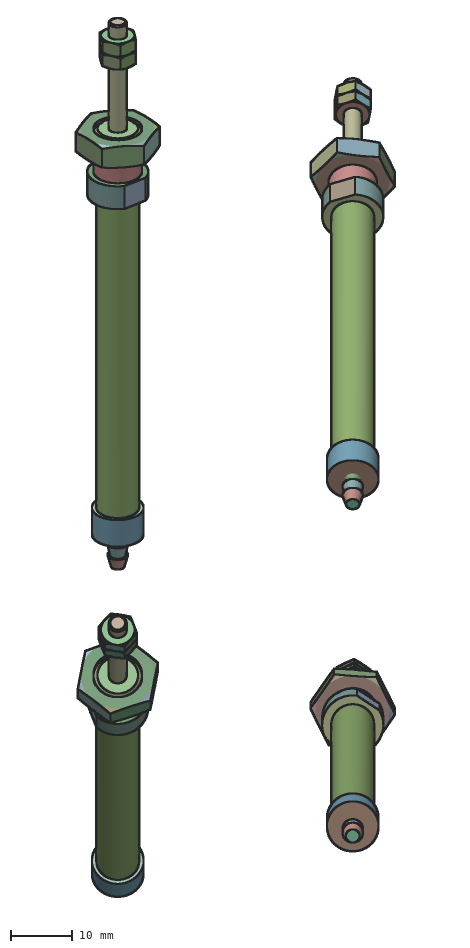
import cadquery as cq
import math

TOTAL_LENGTH = 102.0
CAP_BOTTOM = 6.0
CAP_TOP = 11.0
COLLAR_BOTTOM = 69.7
COLLAR_TOP = 74.0
THREAD_TOP = 82.0

CAP_DIAMETER = 8.5
BARREL_DIAMETER = 7.0
COLLAR_DIAMETER = 10.0
COLLAR_ACROSS_FLATS = 9.0
THREAD_DIAMETER = 8.0
THREAD_TOP_DIAMETER = 6.6

BARB_NECK_DIAMETER = 2.2
BARB_RIDGE_DIAMETER = 3.4
BARB_WAIST_DIAMETER = 2.7
BARB_TIP_DIAMETER = 2.2
BARB_NECK_FILLET = 0.2
BARB_RIDGE_PITCH = 2.1

ROD_DIAMETER = 3.0
ROD_TIP_DIAMETER = 2.4

HEXAGON_FLAT_RATIO = math.cos(math.pi / 6)
MOUNTING_NUT_ACROSS_FLATS = 12.0
MOUNTING_NUT_HEIGHT = 4.0
MOUNTING_NUT_CHAMFER_ANGLE = 15.0
ROD_NUT_ACROSS_FLATS = 5.5
ROD_NUT_HEIGHT = 2.4
ROD_NUT_CHAMFER_ANGLE = 25.0
ROD_NUT_COUNT = 2
ROD_OVERHANG = 2.5


def cylinder(diameter, bottom, top):
    """Solid cylinder on the Z axis between two heights."""
    return cq.Workplane("XY", origin=(0, 0, bottom)).circle(diameter / 2).extrude(top - bottom)


def revolve(profile):
    """Solid of revolution about Z from an open half profile in the XZ plane."""
    return profile.close().revolve(360, (0, 0), (0, 1))


def hose_barb():
    """Neck with two saw-tooth ridges that taper towards the tip and a fillet under the cap."""
    tip_radius = BARB_TIP_DIAMETER / 2
    ridge_radius = BARB_RIDGE_DIAMETER / 2
    neck_radius = BARB_NECK_DIAMETER / 2
    lower_ridge = BARB_RIDGE_PITCH
    upper_ridge = 2 * BARB_RIDGE_PITCH
    profile = (
        cq.Workplane("XZ")
        .lineTo(tip_radius, 0)
        .lineTo(ridge_radius, lower_ridge)
        .lineTo(BARB_WAIST_DIAMETER / 2, lower_ridge)
        .lineTo(ridge_radius, upper_ridge)
        .lineTo(neck_radius, upper_ridge)
        .lineTo(neck_radius, CAP_BOTTOM - BARB_NECK_FILLET)
        .radiusArc((neck_radius + BARB_NECK_FILLET, CAP_BOTTOM), BARB_NECK_FILLET)
        .lineTo(0, CAP_BOTTOM)
    )
    return revolve(profile)


def flatted_collar():
    """Round collar with two wrench flats facing -X and +X."""
    height = COLLAR_TOP - COLLAR_BOTTOM
    slab = (
        cq.Workplane("XY", origin=(0, 0, COLLAR_BOTTOM))
        .rect(COLLAR_ACROSS_FLATS, COLLAR_DIAMETER)
        .extrude(height)
    )
    return cylinder(COLLAR_DIAMETER, COLLAR_BOTTOM, COLLAR_TOP).intersect(slab)


def make_housing():
    """Barb, end cap, barrel, collar and threaded nose, bored for the rod down to the barrel."""
    nose_chamfer = (THREAD_DIAMETER - THREAD_TOP_DIAMETER) / 2
    nose = cylinder(THREAD_DIAMETER, COLLAR_TOP, THREAD_TOP).faces(">Z").chamfer(nose_chamfer)
    return (
        cylinder(BARREL_DIAMETER, CAP_TOP, COLLAR_BOTTOM)
        .union(cylinder(CAP_DIAMETER, CAP_BOTTOM, CAP_TOP))
        .union(hose_barb())
        .union(flatted_collar())
        .union(nose)
        .cut(cylinder(ROD_DIAMETER, COLLAR_BOTTOM, THREAD_TOP))
    )


def make_rod():
    """Plain rod with a chamfered tip, seated in the bore of the housing."""
    tip_chamfer = (ROD_DIAMETER - ROD_TIP_DIAMETER) / 2
    return cylinder(ROD_DIAMETER, COLLAR_BOTTOM, TOTAL_LENGTH).faces(">Z").chamfer(tip_chamfer)


def make_hex_nut(across_flats, height, bore_diameter, chamfer_angle, bottom, turn):
    """Hexagon nut with conically chamfered corners; corners lie on X before the turn in degrees."""
    across_corners = across_flats / HEXAGON_FLAT_RATIO
    corner_radius = across_corners / 2
    flat_radius = across_flats / 2
    drop = (corner_radius - flat_radius) * math.tan(math.radians(chamfer_angle))
    chamfer_envelope = revolve(
        cq.Workplane("XZ")
        .lineTo(flat_radius, 0)
        .lineTo(corner_radius, drop)
        .lineTo(corner_radius, height - drop)
        .lineTo(flat_radius, height)
        .lineTo(0, height)
    )
    return (
        cq.Workplane("XY")
        .polygon(6, across_corners)
        .extrude(height)
        .rotate((0, 0, 0), (0, 0, 1), turn)
        .intersect(chamfer_envelope)
        .cut(cylinder(bore_diameter, 0, height))
        .translate((0, 0, bottom))
    )


def make_mounting_nut():
    """Large nut flush with the top of the threaded nose, corners along X."""
    bottom = THREAD_TOP - MOUNTING_NUT_HEIGHT
    return make_hex_nut(
        across_flats=MOUNTING_NUT_ACROSS_FLATS,
        height=MOUNTING_NUT_HEIGHT,
        bore_diameter=THREAD_DIAMETER,
        chamfer_angle=MOUNTING_NUT_CHAMFER_ANGLE,
        bottom=bottom,
        turn=0,
    )


def make_rod_nut(index):
    """Small nut on the rod, corners along Y; index counts down from the top nut."""
    bottom = TOTAL_LENGTH - ROD_OVERHANG - (index + 1) * ROD_NUT_HEIGHT
    return make_hex_nut(
        across_flats=ROD_NUT_ACROSS_FLATS,
        height=ROD_NUT_HEIGHT,
        bore_diameter=ROD_DIAMETER,
        chamfer_angle=ROD_NUT_CHAMFER_ANGLE,
        bottom=bottom,
        turn=30,
    )


housing = make_housing()
rod = make_rod()
mounting_nut = make_mounting_nut()
rod_nuts = [make_rod_nut(index) for index in range(ROD_NUT_COUNT)]

result = cq.Compound.makeCompound([
    housing.val(),
    rod.val(),
    mounting_nut.val(),
    *[nut.val() for nut in rod_nuts],
])